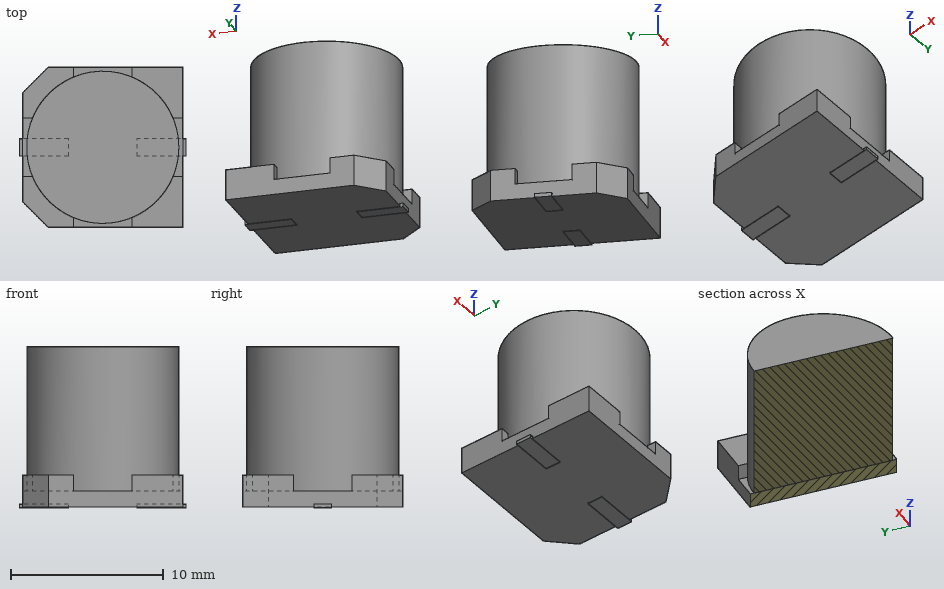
import cadquery as cq

overall_length = 10.9
overall_height = 10.54

base_width = 10.49
base_height = 2.1
standoff = 0.04
corner_chamfer = 1.68
notch_width = 3.85
floor_height = 1.05

can_diameter = 9.96
can_bottom = standoff + floor_height
can_height = overall_height - can_bottom

lead_length = 3.2
lead_width = 1.14
lead_thickness = 0.25


def make_can():
    """Plain cylinder standing on the seat in the base."""
    return (
        cq.Workplane("XY")
        .workplane(offset=can_bottom)
        .circle(can_diameter / 2)
        .extrude(can_height)
    )


def make_lead(side):
    """Flat lead pointing to -X (side = -1) or +X (side = 1), resting on Z = 0."""
    center_x = side * (overall_length - lead_length) / 2
    return (
        cq.Workplane("XY")
        .center(center_x, 0)
        .rect(lead_length, lead_width)
        .extrude(lead_thickness)
    )


def make_base(can, leads):
    """Square block with two chamfered corners, a notch in each side, a can seat and lead recesses."""
    base = (
        cq.Workplane("XY")
        .workplane(offset=standoff)
        .rect(base_width, base_width)
        .extrude(base_height)
        .edges("|Z and <X")
        .chamfer(corner_chamfer)
    )

    for length_x, length_y in [(base_width, notch_width), (notch_width, base_width)]:
        channel = (
            cq.Workplane("XY")
            .workplane(offset=can_bottom)
            .rect(length_x, length_y)
            .extrude(base_height - floor_height)
        )
        base = base.cut(channel)

    base = base.cut(can)
    for lead in leads:
        base = base.cut(lead)
    return base


can = make_can()
leads = [make_lead(side) for side in (-1, 1)]
base = make_base(can, leads)

result = cq.Compound.makeCompound([base.solids().val(), can.val(), *[lead.val() for lead in leads]])